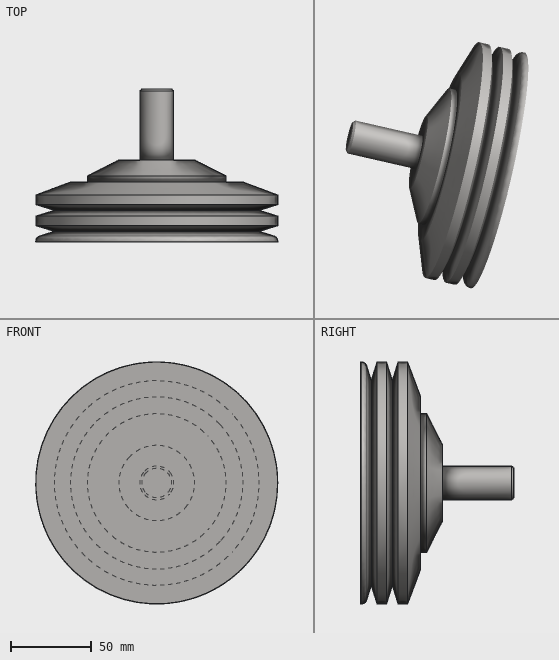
import cadquery as cq

disc_radius = 75.0
hub_radius = 86.0 / 2
pin_radius = 21.0 / 2
overall_height = 95.0

groove_depth = 11.5
groove_half_width = 3.6
groove_pitch = 13.0
first_groove_height = 6.6
groove_heights = [first_groove_height, first_groove_height + groove_pitch]
lip_fillet_radius = 3.5
selection_margin = 0.2

upper_rim_height = 29.1
disc_height = 37.2
disc_top_radius = 53.4

hub_rim_height = 41.0
hub_height = 50.8
hub_top_radius = 23.4

pin_chamfer = 1.4


def turned(profile):
    """Revolve an outline of (radius, height) points around the Y axis."""
    return cq.Workplane("XY").polyline(profile).close().revolve(360, (0, 0, 0), (0, 1, 0))


def grooved_disc():
    """Disc with V grooves, a conical back and a rounded lip at the flat face."""
    profile = [(0, 0), (disc_radius, 0)]
    for height in groove_heights:
        profile += [
            (disc_radius, height - groove_half_width),
            (disc_radius - groove_depth, height),
            (disc_radius, height + groove_half_width),
        ]
    profile += [
        (disc_radius, upper_rim_height),
        (disc_top_radius, disc_height),
        (0, disc_height),
    ]
    lip_height = first_groove_height - groove_half_width
    lip_edge = cq.selectors.BoxSelector(
        (-2 * disc_radius, lip_height - selection_margin, -2 * disc_radius),
        (2 * disc_radius, lip_height + selection_margin, 2 * disc_radius),
        boundingbox=True,
    )
    return turned(profile).edges(lip_edge).fillet(lip_fillet_radius)


def hub():
    return turned([
        (0, 0),
        (hub_radius, 0),
        (hub_radius, hub_rim_height),
        (hub_top_radius, hub_height),
        (0, hub_height),
    ])


def pin():
    return turned([
        (0, 0),
        (pin_radius, 0),
        (pin_radius, overall_height - pin_chamfer),
        (pin_radius - pin_chamfer, overall_height),
        (0, overall_height),
    ])


result = grooved_disc().union(hub()).union(pin())